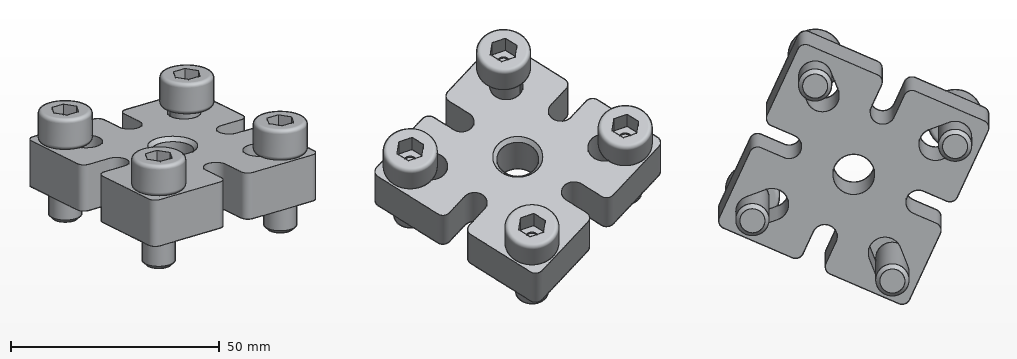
import cadquery as cq
import math

PLATE_SIDE = 50.0
PLATE_THICKNESS = 12.0
PLATE_CORNER_RADIUS = 2.0

EDGE_SLOT_WIDTH = 6.0
EDGE_SLOT_DEPTH = 11.0

CENTRE_HOLE_DIAMETER = 10.0
CENTRE_HOLE_CHAMFER = 1.0

SHANK_DIAMETER = 8.0
SHANK_LENGTH = 20.0
SHANK_TIP_CHAMFER = 1.0

HEAD_DIAMETER = 13.0
HEAD_HEIGHT = SHANK_DIAMETER
HEAD_FILLET = 1.0

SOCKET_WIDTH = 6.0
SOCKET_DEPTH = 5.0
SOCKET_DRILL_DIAMETER = 3.0
SOCKET_DRILL_DEPTH = 0.5

SCREW_RADIUS = 26.0
SCREW_ANGLES = [45, 135, 225, 315]

ADJUSTING_SLOT_TRAVEL = 5.0
ADJUSTING_SLOT_WIDTH = SHANK_DIAMETER


def cut_edge_slots(plate):
    """Round-ended slot open at the middle of each side."""
    end_radius = EDGE_SLOT_WIDTH / 2
    end_centre = PLATE_SIDE / 2 - EDGE_SLOT_DEPTH + end_radius
    slot_end = cq.Workplane("XY").center(end_centre, 0).circle(end_radius).extrude(-PLATE_THICKNESS)
    slot = (
        cq.Workplane("XY")
        .center((end_centre + PLATE_SIDE / 2) / 2, 0)
        .rect(PLATE_SIDE / 2 - end_centre, EDGE_SLOT_WIDTH)
        .extrude(-PLATE_THICKNESS)
        .union(slot_end)
    )
    for angle in (0, 90, 180, 270):
        plate = plate.cut(slot.rotate((0, 0, 0), (0, 0, 1), angle))
    return plate


def round_outline_corners(plate):
    """Round the four plate corners and both corners of each slot mouth."""
    half = PLATE_SIDE / 2
    mouth = EDGE_SLOT_WIDTH / 2
    for along_x, along_y in ((half, half), (half, mouth), (mouth, half)):
        for x in (-along_x, along_x):
            for y in (-along_y, along_y):
                corner = cq.selectors.NearestToPointSelector((x, y, -PLATE_THICKNESS / 2))
                plate = plate.edges("|Z").edges(corner).fillet(PLATE_CORNER_RADIUS)
    return plate


def cut_centre_hole(plate):
    """Through hole with a chamfered rim on the top face."""
    hole_radius = CENTRE_HOLE_DIAMETER / 2
    rim_radius = hole_radius + CENTRE_HOLE_CHAMFER
    hole = (
        cq.Workplane("XZ")
        .moveTo(0, 0)
        .lineTo(rim_radius, 0)
        .lineTo(hole_radius, -CENTRE_HOLE_CHAMFER)
        .lineTo(hole_radius, -PLATE_THICKNESS)
        .lineTo(0, -PLATE_THICKNESS)
        .close()
        .revolve(360, (0, 0, 0), (0, 1, 0))
    )
    return plate.cut(hole)


def cut_adjusting_slots(plate):
    """Diagonal through slots whose outer ends hold the screw shanks."""
    slot = (
        cq.Workplane("XY")
        .center(SCREW_RADIUS - ADJUSTING_SLOT_TRAVEL / 2, 0)
        .slot2D(ADJUSTING_SLOT_TRAVEL + ADJUSTING_SLOT_WIDTH, ADJUSTING_SLOT_WIDTH)
        .extrude(-PLATE_THICKNESS)
    )
    for angle in SCREW_ANGLES:
        plate = plate.cut(slot.rotate((0, 0, 0), (0, 0, 1), angle))
    return plate


def make_plate():
    plate = cq.Workplane("XY").rect(PLATE_SIDE, PLATE_SIDE).extrude(-PLATE_THICKNESS)
    plate = cut_edge_slots(plate)
    plate = round_outline_corners(plate)
    plate = cut_centre_hole(plate)
    return cut_adjusting_slots(plate)


def make_screw():
    """Socket head screw on the Z axis, with the underside of its head at Z = 0."""
    head_radius = HEAD_DIAMETER / 2
    shank_radius = SHANK_DIAMETER / 2
    head_rims = cq.selectors.RadiusNthSelector(-1)
    body = (
        cq.Workplane("XZ")
        .moveTo(0, -SHANK_LENGTH)
        .lineTo(shank_radius - SHANK_TIP_CHAMFER, -SHANK_LENGTH)
        .lineTo(shank_radius, SHANK_TIP_CHAMFER - SHANK_LENGTH)
        .lineTo(shank_radius, 0)
        .lineTo(head_radius, 0)
        .lineTo(head_radius, HEAD_HEIGHT)
        .lineTo(0, HEAD_HEIGHT)
        .close()
        .revolve(360, (0, 0, 0), (0, 1, 0))
        .edges(head_rims)
        .fillet(HEAD_FILLET)
    )
    socket = (
        cq.Workplane("XY")
        .workplane(offset=HEAD_HEIGHT)
        .polygon(6, SOCKET_WIDTH, circumscribed=True)
        .extrude(-SOCKET_DEPTH)
    )
    drill = (
        cq.Workplane("XY")
        .workplane(offset=HEAD_HEIGHT)
        .circle(SOCKET_DRILL_DIAMETER / 2)
        .extrude(-SOCKET_DEPTH - SOCKET_DRILL_DEPTH)
    )
    return body.cut(socket).cut(drill)


def make_screws():
    """One screw at the outer end of each adjusting slot."""
    screw = make_screw()
    screws = []
    for angle in SCREW_ANGLES:
        x = SCREW_RADIUS * math.cos(math.radians(angle))
        y = SCREW_RADIUS * math.sin(math.radians(angle))
        screws.append(screw.translate((x, y, 0)).val())
    return screws


plate = make_plate()
screws = make_screws()

result = cq.Compound.makeCompound([plate.val(), *screws])